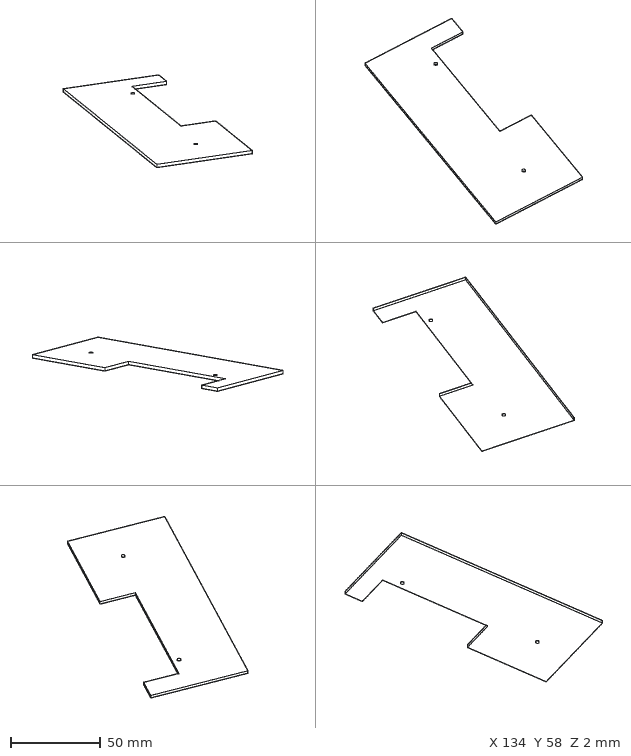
import cadquery as cq

plate_length = 134.0
plate_width = 58.0
plate_thickness = 2.0

notch_start = 11.5
notch_length = 70.0
notch_depth = 21.0

hole_diameter = 2.0
hole_margin = 22.0
hole_drop = 25.0


def make_plate():
    """Flat plate with its lower -X, -Y corner at the origin."""
    return cq.Workplane("XY").box(plate_length, plate_width, plate_thickness, centered=False)


def cut_notch(body):
    """Open the +Y edge with a rectangular notch through the thickness."""
    notch = (
        cq.Workplane("XY")
        .box(notch_length, notch_depth, plate_thickness, centered=False)
        .translate((notch_start, plate_width - notch_depth, 0))
    )
    return body.cut(notch)


def drill_holes(body):
    """Drill the two through holes, one near each end."""
    hole_y = plate_width - hole_drop
    hole_centers = [(hole_margin, hole_y), (plate_length - hole_margin, hole_y)]
    holes = (
        cq.Workplane("XY")
        .pushPoints(hole_centers)
        .circle(hole_diameter / 2)
        .extrude(plate_thickness)
    )
    return body.cut(holes)


result = drill_holes(cut_notch(make_plate()))